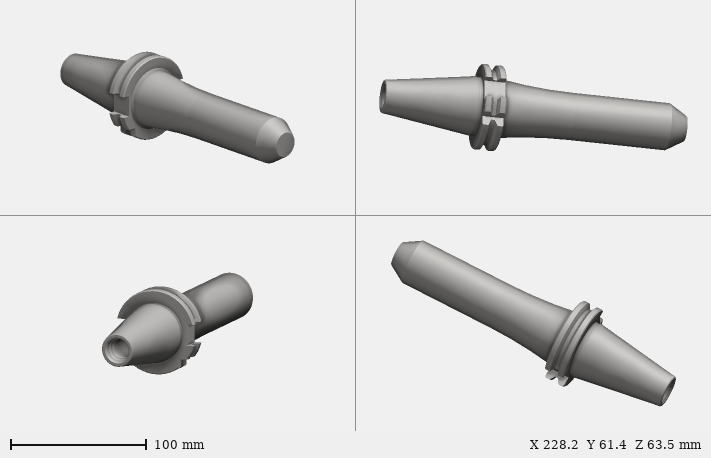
import cadquery as cq
import math

TAPER_LENGTH = 68.25
NOSE_REACH = 160.0
TAPER_END = -0.8
FLANGE_START = 3.18
FLANGE_END = 19.05
NECK_START = 20.5
NECK_END = 73.4
TIP_CONE_START = 146.5

GAUGE_RADIUS = 22.225
TAPER_SLOPE = 7 / 48
SHANK_END_RADIUS = GAUGE_RADIUS - TAPER_SLOPE * TAPER_LENGTH
SHANK_CHAMFER = 0.6

RELIEF_START = 0.6
RELIEF_RADIUS = 21.7
RELIEF_FILLET = 0.5

FLANGE_RADIUS = 63.51 / 2
FLANGE_CHAMFER = 0.8
GROOVE_CENTER = 11.1
GROOVE_WIDTH = 7.0
GROOVE_BOTTOM_RADIUS = 28.0
GROOVE_SIDE_ANGLE = 30.0

NECK_ROOT_RADIUS = 23.3
NECK_RADIUS = 21.65
NOSE_RADIUS = 17.5
TIP_RADIUS = 9.7
TIP_EDGE_CHAMFER = 0.4

SLOT_WIDTH = 16.12
SLOT_FLOOR_BACK = 22.6
SLOT_FLOOR_FRONT = 25.0
NOTCH_OFFSET = 18.6
CUT_CLEARANCE = 1.0

MOUTH_RADIUS = 9.75
MOUTH_DEPTH = 1.5
PILOT_RADIUS = 8.6
PILOT_DEPTH = 4.5
THREAD_RADIUS = 7.8
THREAD_DEPTH = 8.5
BORE_RADIUS = 6.9
BORE_DEPTH = 30.0
SHOULDER_ANGLE = 30.0
DRILL_POINT_ANGLE = 118.0


def neck_arc_radius_at(x):
    """Radius of the concave neck arc, which is tangent to the straight nose."""
    run = NECK_END - NECK_START
    rise = NECK_RADIUS - NOSE_RADIUS
    arc_radius = (run**2 + rise**2) / (2 * rise)
    return NOSE_RADIUS + arc_radius - math.sqrt(arc_radius**2 - (NECK_END - x) ** 2)


def make_body():
    """Revolve the whole outside profile about the X axis."""
    groove_depth = FLANGE_RADIUS - GROOVE_BOTTOM_RADIUS
    half_top = GROOVE_WIDTH / 2
    half_bottom = half_top - groove_depth * math.tan(math.radians(GROOVE_SIDE_ANGLE))
    neck_middle = (NECK_START + NECK_END) / 2
    chamfer_radius = SHANK_END_RADIUS + TAPER_SLOPE * SHANK_CHAMFER
    profile = (
        cq.Workplane("XY")
        .moveTo(-TAPER_LENGTH, 0)
        .lineTo(-TAPER_LENGTH, SHANK_END_RADIUS - SHANK_CHAMFER)
        .lineTo(-TAPER_LENGTH + SHANK_CHAMFER, chamfer_radius)
        .lineTo(TAPER_END, GAUGE_RADIUS + TAPER_SLOPE * TAPER_END)
        .lineTo(RELIEF_START, RELIEF_RADIUS)
        .lineTo(FLANGE_START - RELIEF_FILLET, RELIEF_RADIUS)
        .radiusArc((FLANGE_START, RELIEF_RADIUS + RELIEF_FILLET), -RELIEF_FILLET)
        .lineTo(FLANGE_START, FLANGE_RADIUS - FLANGE_CHAMFER)
        .lineTo(FLANGE_START + FLANGE_CHAMFER, FLANGE_RADIUS)
        .lineTo(GROOVE_CENTER - half_top, FLANGE_RADIUS)
        .lineTo(GROOVE_CENTER - half_bottom, GROOVE_BOTTOM_RADIUS)
        .lineTo(GROOVE_CENTER + half_bottom, GROOVE_BOTTOM_RADIUS)
        .lineTo(GROOVE_CENTER + half_top, FLANGE_RADIUS)
        .lineTo(FLANGE_END - FLANGE_CHAMFER, FLANGE_RADIUS)
        .lineTo(FLANGE_END, FLANGE_RADIUS - FLANGE_CHAMFER)
        .lineTo(FLANGE_END, NECK_ROOT_RADIUS)
        .lineTo(NECK_START, NECK_RADIUS)
        .threePointArc((neck_middle, neck_arc_radius_at(neck_middle)), (NECK_END, NOSE_RADIUS))
        .lineTo(TIP_CONE_START, NOSE_RADIUS)
        .lineTo(NOSE_REACH - TIP_EDGE_CHAMFER, TIP_RADIUS)
        .lineTo(NOSE_REACH, TIP_RADIUS - TIP_EDGE_CHAMFER)
        .lineTo(NOSE_REACH, 0)
        .close()
    )
    return profile.revolve(360, (0, 0, 0), (1, 0, 0))


def flange_cutter(y_range, z_range):
    """Box spanning the flange thickness over the given Y and Z ranges."""
    length = FLANGE_END - FLANGE_START
    width = y_range[1] - y_range[0]
    height = z_range[1] - z_range[0]
    corner = (FLANGE_START, y_range[0], z_range[0])
    return cq.Workplane("XY").box(length, width, height, centered=False).translate(corner)


def cut_flange(body):
    """Cut the two drive slots of unequal depth and the corner notch."""
    half_slot = SLOT_WIDTH / 2
    beyond = FLANGE_RADIUS + CUT_CLEARANCE
    back_slot = flange_cutter((SLOT_FLOOR_BACK, beyond), (-half_slot, half_slot))
    front_slot = flange_cutter((-beyond, -SLOT_FLOOR_FRONT), (-half_slot, half_slot))
    notch = flange_cutter((-beyond, -NOTCH_OFFSET), (-beyond, -NOTCH_OFFSET))
    return body.cut(back_slot).cut(front_slot).cut(notch)


def make_bore():
    """Countersunk, stepped blind hole with a conical drill point."""
    shoulder_slope = math.tan(math.radians(SHOULDER_ANGLE))
    first_shoulder = (PILOT_RADIUS - THREAD_RADIUS) / shoulder_slope
    second_shoulder = (THREAD_RADIUS - BORE_RADIUS) / shoulder_slope
    point_depth = BORE_RADIUS / math.tan(math.radians(DRILL_POINT_ANGLE / 2))
    face = -TAPER_LENGTH
    return (
        cq.Workplane("XY")
        .moveTo(face, 0)
        .lineTo(face, MOUTH_RADIUS)
        .lineTo(face + MOUTH_DEPTH, PILOT_RADIUS)
        .lineTo(face + PILOT_DEPTH, PILOT_RADIUS)
        .lineTo(face + PILOT_DEPTH + first_shoulder, THREAD_RADIUS)
        .lineTo(face + THREAD_DEPTH, THREAD_RADIUS)
        .lineTo(face + THREAD_DEPTH + second_shoulder, BORE_RADIUS)
        .lineTo(face + BORE_DEPTH, BORE_RADIUS)
        .lineTo(face + BORE_DEPTH + point_depth, 0)
        .close()
        .revolve(360, (0, 0, 0), (1, 0, 0))
    )


result = cut_flange(make_body()).cut(make_bore())